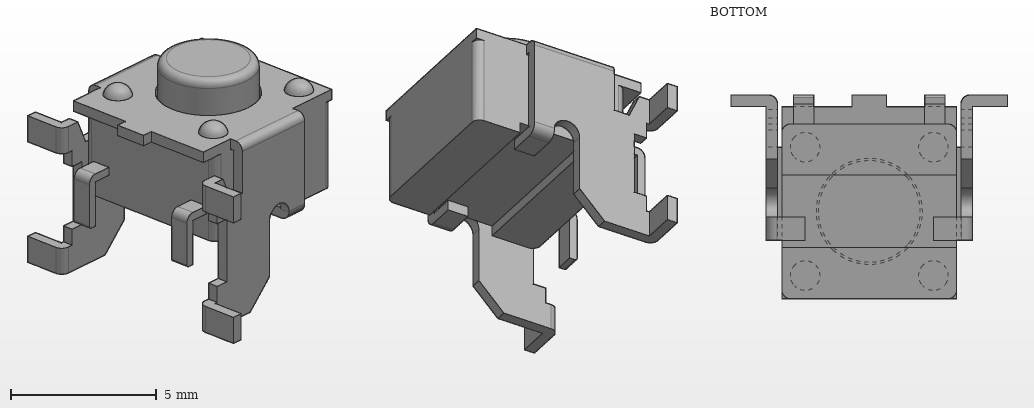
import cadquery as cq


overall_width = 9.5
bottom_z = -6.6
front_y = -4.0

sheet = 0.4
bend_radius = 0.3
bracket_width = 7.1
wall_outer_x = bracket_width / 2
wall_inner_x = wall_outer_x - sheet
foot_back_y = front_y + sheet

body_size = 6.0
body_corner_radius = 0.3
body_bottom_z = -3.7
channel_width = 2.5
channel_depth = 0.4

plate_tab_width = 1.2

button_diameter = 3.5
button_hole_diameter = 3.65
button_height = 1.3
button_fillet = 0.3

rivet_diameter = 1.02
rivet_height = 0.4
rivet_offset = 2.2

wall_back_y = 1.0
wall_front_y = -2.2
slot_floor_z = -1.9
slot_floor_end_y = -2.8
upper_foot_back_y = -3.2
upper_foot_top_z = -1.0
foot_height = 1.0
upper_foot_bottom_z = upper_foot_top_z - foot_height
lower_foot_top_z = bottom_z + foot_height
step_y = -3.5
recess_y = -3.0
recess_top_z = -2.6
recess_bottom_z = -5.0
leg_chamfer = 1.0

hook_bottom_z = -3.85
hook_top_z = hook_bottom_z + sheet
hook_bend_radius = 0.38
hook_front_y = 0.2
hook_end_x = 2.2
relief_radius = 0.5
relief_z = -3.5
leg_back_y = hook_front_y - 2 * relief_radius

terminal_width = 0.7
terminal_offset_x = 2.25
terminal_thickness = 0.3
terminal_top_z = -2.4
terminal_bottom_z = -4.4
terminal_bend_radius = 0.3
terminal_tip_radius = 0.095


def block(x_range, y_range, z_range):
    """Box between the given coordinates."""
    x0, x1 = x_range
    y0, y1 = y_range
    z0, z1 = z_range
    return cq.Workplane("XY").box(x1 - x0, y1 - y0, z1 - z0, centered=False).translate((x0, y0, z0))


def make_body():
    """Housing with rounded vertical corners and a channel across its underside."""
    height = -sheet - body_bottom_z
    body = (
        cq.Workplane("XY", origin=(0, 0, body_bottom_z))
        .rect(body_size, body_size)
        .extrude(height)
        .edges("|Z")
        .fillet(body_corner_radius)
    )
    channel = block(
        (-body_size / 2, body_size / 2),
        (-channel_width / 2, channel_width / 2),
        (body_bottom_z, body_bottom_z + channel_depth),
    )
    return body.cut(channel)


def make_plate():
    """Cover plate with a front tab and a clearance hole for the button."""
    half_width = body_size / 2
    half_tab = plate_tab_width / 2
    plate = block((-half_width, half_width), (foot_back_y, body_size / 2), (-sheet, 0))
    tab = block((-half_tab, half_tab), (front_y, foot_back_y), (-sheet, 0))
    hole = cq.Workplane("XY").circle(button_hole_diameter / 2).extrude(-sheet)
    return plate.union(tab).cut(hole)


def make_button():
    """Round button standing on the housing."""
    return (
        cq.Workplane("XY", origin=(0, 0, -sheet))
        .circle(button_diameter / 2)
        .extrude(sheet + button_height)
        .faces(">Z")
        .edges()
        .fillet(button_fillet)
    )


def make_rivets():
    """Four spherical caps near the corners of the cover plate."""
    base_radius = rivet_diameter / 2
    sphere_radius = (base_radius**2 + rivet_height**2) / (2 * rivet_height)
    center_z = rivet_height - sphere_radius
    cap = cq.Workplane("XY").sphere(sphere_radius).translate((0, 0, center_z))
    keep = block(
        (-rivet_diameter, rivet_diameter),
        (-rivet_diameter, rivet_diameter),
        (-sheet / 2, rivet_height),
    )
    cap = cap.intersect(keep)
    rivets = cq.Workplane("XY")
    for x in (-rivet_offset, rivet_offset):
        for y in (-rivet_offset, rivet_offset):
            rivets = rivets.union(cap.translate((x, y, 0)))
    return rivets


def make_wall():
    """Flat part of the side wall at +X, drawn in the YZ plane."""
    relief_mid_y = hook_front_y - relief_radius
    return (
        cq.Workplane("YZ", origin=(wall_inner_x, 0, 0))
        .moveTo(wall_back_y, -sheet)
        .lineTo(wall_front_y, -sheet)
        .lineTo(wall_front_y, slot_floor_z)
        .lineTo(slot_floor_end_y, slot_floor_z)
        .lineTo(upper_foot_back_y, upper_foot_top_z)
        .lineTo(foot_back_y, upper_foot_top_z)
        .lineTo(foot_back_y, upper_foot_bottom_z)
        .lineTo(step_y, upper_foot_bottom_z)
        .lineTo(step_y, recess_top_z)
        .lineTo(recess_y, recess_top_z)
        .lineTo(recess_y, recess_bottom_z)
        .lineTo(step_y, recess_bottom_z)
        .lineTo(step_y, lower_foot_top_z)
        .lineTo(foot_back_y, lower_foot_top_z)
        .lineTo(foot_back_y, bottom_z)
        .lineTo(leg_back_y - leg_chamfer, bottom_z)
        .lineTo(leg_back_y, bottom_z + leg_chamfer)
        .lineTo(leg_back_y, relief_z)
        .threePointArc((relief_mid_y, relief_z + relief_radius), (hook_front_y, relief_z))
        .lineTo(hook_front_y, hook_top_z)
        .lineTo(wall_back_y, hook_top_z)
        .close()
        .extrude(sheet)
    )


def make_foot(foot_bottom_z):
    """Foot bent outwards from the front of the side wall at +X."""
    foot = block(
        (wall_inner_x, overall_width / 2),
        (front_y, foot_back_y),
        (foot_bottom_z, foot_bottom_z + foot_height),
    )
    return foot.edges("|Z and <X and <Y").fillet(bend_radius)


def make_side():
    """Side wall at +X with its bend to the cover, its hook and both feet."""
    top_bend = block((body_size / 2, wall_outer_x), (wall_front_y, wall_back_y), (-sheet, 0))
    top_bend = top_bend.edges("|Y and >X and >Z").fillet(bend_radius)
    hook = block((hook_end_x, wall_outer_x), (hook_front_y, wall_back_y), (hook_bottom_z, hook_top_z))
    hook = hook.edges("|Y and >X and <Z").fillet(hook_bend_radius)
    side = make_wall().union(top_bend).union(hook)
    for foot_bottom_z in (upper_foot_bottom_z, bottom_z):
        side = side.union(make_foot(foot_bottom_z))
    return side


def make_terminal():
    """Terminal at +X that leaves the front of the housing and bends down."""
    back_y = -body_size / 2
    outline = [
        (back_y, terminal_top_z),
        (front_y, terminal_top_z),
        (front_y, terminal_bottom_z),
        (front_y + terminal_thickness, terminal_bottom_z),
        (front_y + terminal_thickness, terminal_top_z - terminal_thickness),
        (back_y, terminal_top_z - terminal_thickness),
    ]
    return (
        cq.Workplane("YZ", origin=(terminal_offset_x - terminal_width / 2, 0, 0))
        .polyline(outline)
        .close()
        .extrude(terminal_width)
        .edges("|X and <Y and >Z")
        .fillet(terminal_bend_radius)
        .edges("|X and <Y and <Z")
        .fillet(terminal_tip_radius)
    )


result = make_body().union(make_plate()).union(make_button()).union(make_rivets())
for half in (make_side(), make_terminal()):
    result = result.union(half).union(half.mirror("YZ"))